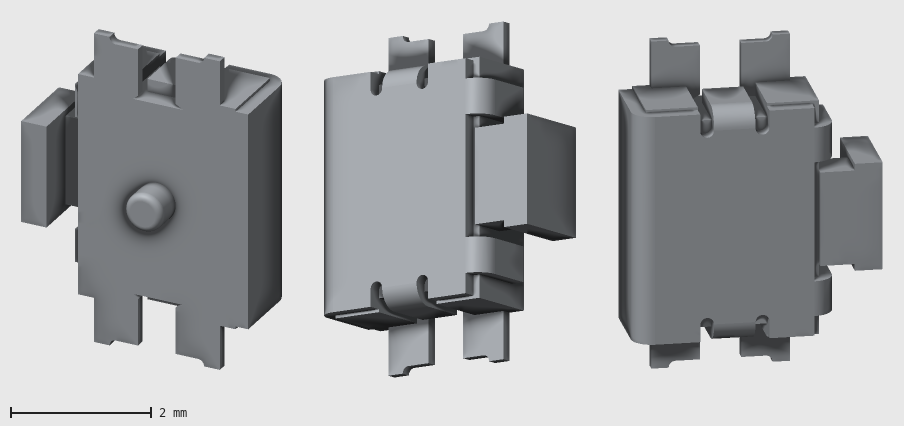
import cadquery as cq
import math


HOUSING_WIDTH = 2.5
HOUSING_HEIGHT = 3.5
TOTAL_DEPTH = 1.3
SHEET = 0.2
HOUSING_DEPTH = TOTAL_DEPTH - SHEET
SIDE_X = HOUSING_WIDTH / 2
END_Z = HOUSING_HEIGHT / 2
RECESS_HALF_WIDTH = 0.5
RECESS_FLOOR_Z = END_Z - SHEET

PIN_RADIUS = 0.3
PIN_LENGTH = 0.45
PIN_FILLET = 0.1

COVER_HALF_HEIGHT = 1.705
BEND_RADIUS = 0.3
TAB_FRONT_Y = 0.3
TAB_INNER_Z = 0.89
TAB_OUTER_Z = 1.41
FLAP_HALF_WIDTH = 0.3
PLATE_LEFT_X = -SIDE_X - SHEET + BEND_RADIUS
BEND_START_Z = END_Z - BEND_RADIUS
RELIEF_WIDTH = RECESS_HALF_WIDTH - FLAP_HALF_WIDTH

HEAD_REACH = 0.9
HEAD_WIDTH = 0.4
HEAD_DEPTH = 1.2
HEAD_HEIGHT = 1.6
NECK_DEPTH = 0.6
NECK_HEIGHT = 1.4

TERMINAL_THICKNESS = 0.15
TERMINAL_END_Z = 2.45
TERMINAL_OUTER_X = 1.0
TERMINAL_INNER_X = 0.3
SLANT_END_Z = 1.615
NOTCH_X = 0.75
NOTCH_RADIUS = 0.1
TERMINAL_FEET = [
    (-1, [(0.6, 1.0), (0.6, 1.375), (0.53, 1.405)]),
    (1, [(0.72, 1.2), (0.72, 1.365)]),
]


def box(x_range, y_range, z_range):
    """Box between the given (low, high) limits."""
    lows, highs = zip(x_range, y_range, z_range)
    size = [high - low for low, high in zip(lows, highs)]
    return cq.Workplane("XY").box(*size, centered=False).translate(lows)


def mirrored_pair(shape):
    """The shape joined with its mirror image about Z = 0."""
    return shape.union(shape.mirror("XY"))


def make_terminal(side, foot_corners):
    """Flat terminal at the upper end, with its front on the mounting face."""
    notch_z = TERMINAL_END_Z - NOTCH_RADIUS
    notch_center_x = NOTCH_X - NOTCH_RADIUS
    arc_offset = NOTCH_RADIUS * math.sqrt(0.5)
    foot_end_z = foot_corners[0][1]
    outline = (
        cq.Workplane("XZ")
        .moveTo(side * TERMINAL_OUTER_X, foot_end_z)
        .lineTo(side * TERMINAL_OUTER_X, TERMINAL_END_Z)
        .lineTo(side * NOTCH_X, TERMINAL_END_Z)
        .threePointArc(
            (side * (notch_center_x + arc_offset), TERMINAL_END_Z - arc_offset),
            (side * notch_center_x, notch_z),
        )
        .lineTo(side * TERMINAL_INNER_X, notch_z)
        .lineTo(side * TERMINAL_INNER_X, SLANT_END_Z)
    )
    for distance, z in reversed(foot_corners):
        outline = outline.lineTo(side * distance, z)
    return outline.close().extrude(-TERMINAL_THICKNESS)


def make_terminals():
    terminals = []
    for foot in TERMINAL_FEET:
        upper = make_terminal(*foot)
        terminals += [upper, upper.mirror("XY")]
    return terminals


def make_housing_block():
    """Housing block with a recess in both ends."""
    block = box((-SIDE_X, SIDE_X), (0, HOUSING_DEPTH), (-END_Z, END_Z))
    recess = box(
        (-RECESS_HALF_WIDTH, RECESS_HALF_WIDTH), (0, HOUSING_DEPTH), (RECESS_FLOOR_Z, END_Z)
    )
    return block.cut(mirrored_pair(recess))


def make_housing(terminals):
    """Housing block with its locating pin and pockets that match the terminals."""
    pin = cq.Workplane("XZ").circle(PIN_RADIUS).extrude(PIN_LENGTH)
    pin = pin.faces("<Y").edges().fillet(PIN_FILLET)
    housing = make_housing_block().union(pin)
    for terminal in terminals:
        housing = housing.cut(terminal)
    return housing


def make_cover_shell():
    """Back plate with the full-height flange along the right side."""
    shell = box(
        (PLATE_LEFT_X, SIDE_X + SHEET), (0, TOTAL_DEPTH), (-COVER_HALF_HEIGHT, COVER_HALF_HEIGHT)
    )
    return shell.edges(">X and >Y").fillet(BEND_RADIUS)


def make_side_tab():
    """Tab bent over the left side of the housing."""
    tab = box((-SIDE_X - SHEET, 0), (TAB_FRONT_Y, TOTAL_DEPTH), (TAB_INNER_Z, TAB_OUTER_Z))
    return tab.edges("<X and >Y").fillet(BEND_RADIUS)


def make_end_flap():
    """Flap bent into the recess in the upper end of the housing."""
    flap = box((-FLAP_HALF_WIDTH, FLAP_HALF_WIDTH), (TAB_FRONT_Y, TOTAL_DEPTH), (0, END_Z))
    return flap.edges(">Z and >Y").fillet(BEND_RADIUS)


def make_flap_clearance():
    """Space around the upper flap: the flap's own width and a round-ended relief slot on each side."""
    clearance = box((-RECESS_HALF_WIDTH, RECESS_HALF_WIDTH), (0, TOTAL_DEPTH), (BEND_START_Z, END_Z))
    slot_x = FLAP_HALF_WIDTH + RELIEF_WIDTH / 2
    slot_ends = (
        cq.Workplane("XZ")
        .pushPoints([(-slot_x, BEND_START_Z), (slot_x, BEND_START_Z)])
        .circle(RELIEF_WIDTH / 2)
        .extrude(-TOTAL_DEPTH)
    )
    return clearance.union(slot_ends)


def make_cover():
    """Bent sheet-metal cover that wraps the housing block."""
    cover = make_cover_shell().union(mirrored_pair(make_side_tab()))
    cover = cover.cut(mirrored_pair(make_flap_clearance()))
    cover = cover.union(mirrored_pair(make_end_flap()))
    return cover.cut(make_housing_block())


def make_slider():
    """Slider knob whose neck ends at the left side of the housing."""
    outer_x = -SIDE_X - HEAD_REACH
    head = box(
        (outer_x, outer_x + HEAD_WIDTH), (0, HEAD_DEPTH), (-HEAD_HEIGHT / 2, HEAD_HEIGHT / 2)
    )
    neck = box(
        (outer_x, -SIDE_X),
        (HEAD_DEPTH - NECK_DEPTH, HEAD_DEPTH),
        (-NECK_HEIGHT / 2, NECK_HEIGHT / 2),
    )
    return head.union(neck)


terminals = make_terminals()
housing = make_housing(terminals)
cover = make_cover()
slider = make_slider()

result = cq.Compound.makeCompound(
    [housing.val(), cover.val(), slider.val(), *[terminal.val() for terminal in terminals]]
)